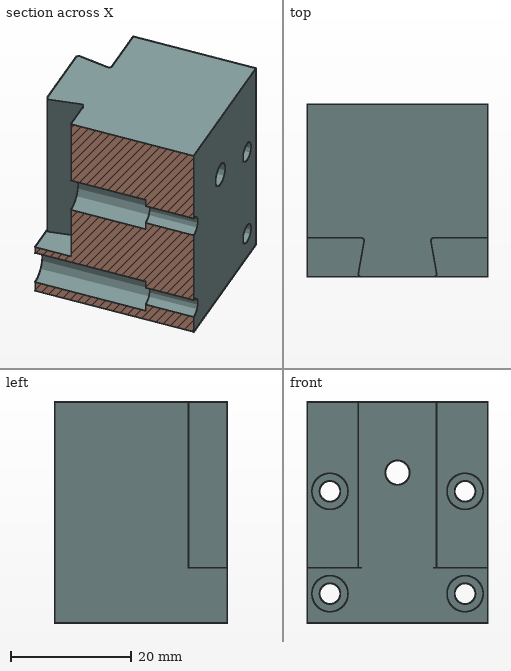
import cadquery as cq
import math

WIDTH = 30.0
DEPTH = 28.7
HEIGHT = 36.75

FOOT_HEIGHT = 9.2
TONGUE_DEPTH = 6.5
TONGUE_FRONT_HALF_WIDTH = 6.6
FLANK_ANGLE = 10.0
CORNER_RADIUS = 0.5

SCREW_DIAMETER = 3.4
COUNTERBORE_DIAMETER = 6.0
COUNTERBORE_DEPTH = 20.0
SCREW_X = 11.22
LOWER_SCREW_Z = 4.9
SCREW_PITCH_Z = 17.0
SCREW_ROWS = 2

CENTER_HOLE_DIAMETER = 4.0
CENTER_HOLE_Z = 25.0


def side_notch(side):
    """Undercut notch beside the tongue; side is -1 or +1 along X."""
    root_half_width = TONGUE_FRONT_HALF_WIDTH - TONGUE_DEPTH * math.tan(math.radians(FLANK_ANGLE))
    outline = [
        (side * TONGUE_FRONT_HALF_WIDTH, 0),
        (side * root_half_width, TONGUE_DEPTH),
        (side * WIDTH / 2, TONGUE_DEPTH),
        (side * WIDTH / 2, 0),
    ]
    notch = cq.Workplane("XY").workplane(offset=FOOT_HEIGHT).polyline(outline).close()
    return notch.extrude(HEIGHT - FOOT_HEIGHT)


def round_tongue(body):
    """Round the front corners and the root corners of the tongue."""
    reach = TONGUE_FRONT_HALF_WIDTH + CORNER_RADIUS
    tongue_zone = cq.selectors.BoxSelector(
        (-reach, -CORNER_RADIUS, FOOT_HEIGHT),
        (reach, TONGUE_DEPTH + CORNER_RADIUS, HEIGHT),
    )
    return body.edges("|Z").edges(tongue_zone).fillet(CORNER_RADIUS)


def bore(diameter, x, z, length):
    """Cylinder running back along +Y from the front face."""
    return cq.Workplane("XZ", origin=(x, 0, z)).circle(diameter / 2).extrude(-length)


def screw_hole(x, z):
    """Clearance hole right through the block, with its deep counterbore at the front."""
    shank = bore(SCREW_DIAMETER, x, z, DEPTH)
    return shank.union(bore(COUNTERBORE_DIAMETER, x, z, COUNTERBORE_DEPTH))


result = cq.Workplane("XY").box(WIDTH, DEPTH, HEIGHT, centered=(True, False, False))
for side in (-1, 1):
    result = result.cut(side_notch(side))
result = round_tongue(result)

for side in (-1, 1):
    for row in range(SCREW_ROWS):
        result = result.cut(screw_hole(side * SCREW_X, LOWER_SCREW_Z + row * SCREW_PITCH_Z))

result = result.cut(bore(CENTER_HOLE_DIAMETER, 0, CENTER_HOLE_Z, DEPTH))